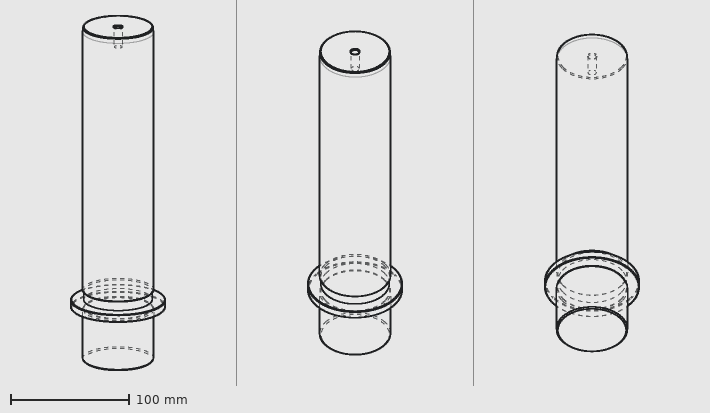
import cadquery as cq

length = 297.0
shaft_diameter = 60.0
flange_diameter = 80.0
neck_diameter = 58.0

flange_bottom = 46.5
flange_thickness = 6.8
neck_top = 61.2

edge_chamfer = 1.2
lead_height = 4.5
lead_depth = 0.3
top_chamfer = 1.0
flange_chamfer = 0.5
undercut_height = 0.5

hole_diameter = 6.8
hole_mouth_diameter = 8.0
hole_depth = 17.8
countersink_angle = 60

shaft_radius = shaft_diameter / 2
flange_radius = flange_diameter / 2
neck_radius = neck_diameter / 2
lead_radius = shaft_radius - lead_depth
flange_top = flange_bottom + flange_thickness
shoulder_step = shaft_radius - neck_radius


def turned_body():
    """Revolve the half profile of the shaft, flange and neck about Z."""
    profile = [
        (0, 0),
        (shaft_radius - edge_chamfer, 0),
        (shaft_radius, edge_chamfer),
        (shaft_radius, flange_bottom - undercut_height - shoulder_step),
        (neck_radius, flange_bottom - undercut_height),
        (neck_radius, flange_bottom),
        (flange_radius - flange_chamfer, flange_bottom),
        (flange_radius, flange_bottom + flange_chamfer),
        (flange_radius, flange_top - flange_chamfer),
        (flange_radius - flange_chamfer, flange_top),
        (neck_radius, flange_top),
        (neck_radius, neck_top),
        (shaft_radius, neck_top + shoulder_step),
        (shaft_radius, length - lead_height),
        (lead_radius, length - top_chamfer),
        (lead_radius - top_chamfer, length),
        (0, length),
    ]
    return cq.Workplane("XZ").polyline(profile).close().revolve(360, (0, 0), (0, 1))


def centre_hole(body):
    """Drill the blind hole in the top face with a countersunk mouth."""
    top_face = body.faces(">Z").workplane()
    return top_face.cskHole(hole_diameter, hole_mouth_diameter, countersink_angle, hole_depth)


result = centre_hole(turned_body())